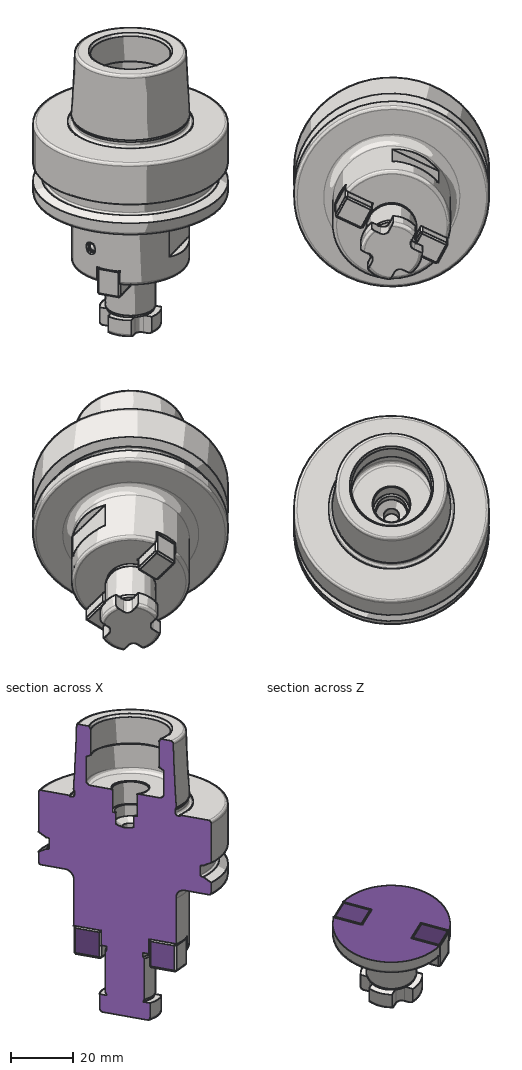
import cadquery as cq
import math

TOTAL_HEIGHT = 98.0
FLANGE_TOP = 72.9
GAUGE_LENGTH = 50.0
COLLAR_BOTTOM = FLANGE_TOP - GAUGE_LENGTH
HEAD_HEIGHT = 6.2

TAPER_BOTTOM = 75.3
TAPER_BASE_RADIUS = 19.1
TAPER_TOP_RADIUS = 18.0
TAPER_TOP_FILLET = 1.0
NECK_RADIUS = 18.7
NECK_TOP = 74.4

RELIEF_RADIUS = 20.3
RELIEF_DEPTH = 0.4
NECK_FILLET = 1.0

FLANGE_DIAMETER = 63.0
FLANGE_RADIUS = FLANGE_DIAMETER / 2
FLANGE_BOTTOM = 47.0
FLANGE_FILLET = 1.0
GROOVE_MIDDLE = 54.9
GROOVE_MOUTH = 6.8
GROOVE_INNER_WIDTH = 3.8
GROOVE_CORNER_FILLET = 0.6
GROOVE_WALL_RADIUS = 28.7
GROOVE_FLOOR_RADIUS = 27.6

COLLAR_RADIUS = 19.0
COLLAR_COVE = 2.9
COLLAR_FILLET = 1.2
FLAT_DISTANCE = 17.1
FLAT_BOTTOM = 31.1
FLAT_TOP = 41.2
FLAT_END_RISE = 0.7

BORE_RADIUS = 12.9
BORE_CHAMFER = 0.6
BORE_CHAMFER_HEIGHT = 1.0
BORE_LIP_HEIGHT = 10.0
CLAMP_RECESS_RADIUS = 14.5
CLAMP_FACE_ANGLE = 30.0
BORE_FLOOR_FILLET = 1.5
BORE_DEPTH = 20.4
THREAD_HOLE_RADIUS = 5.9
THREAD_HOLE_CHAMFER = 0.3
THREAD_HOLE_DEPTH = 7.8
DRILL_RADIUS = 5.1
DRILL_DEPTH = 3.9
DRILL_HALF_ANGLE = 59.0
COOLANT_RADIUS = 2.5
COOLANT_DEPTH = 5.9

SPIGOT_RADIUS = 8.1
UNDERCUT_RADIUS = 7.7
UNDERCUT_BOTTOM = 21.8
UNDERCUT_SLOPE = 0.6
SPIGOT_END_HEIGHT = 0.9
SPIGOT_END_STEP = 0.4
HEAD_RADIUS = 10.0
HEAD_FILLET = 1.2
LOBE_WIDTH = 8.0
LOBE_CORNER_RADIUS = 2.1

SIDE_HOLE_ANGLE = 20.0
SIDE_HOLE_HEIGHT = 34.0
SIDE_HOLE_RADIUS = 1.6
SIDE_HOLE_CHAMFER = 0.5
SIDE_HOLE_DEPTH = 1.2
DOME_BASE_RADIUS = 1.3
DOME_RISE = 0.9

KEY_WIDTH = 8.0
KEY_INNER = 8.6
KEY_OUTER = 18.5
KEY_BOTTOM = 18.2
KEY_TOP = 28.0
KEY_CHAMFER = 0.6
KEY_ANGLES = (0, 180)

CUT_MARGIN = 1.0


def revolve(outline):
    """Turn a closed (radius, z) outline about the tool axis."""
    return outline.close().revolve(360, (0, 0, 0), (0, 1, 0))


def holder_blank():
    """Turned outside of the shank, flange, collar and spigot."""
    relief_floor = FLANGE_TOP - RELIEF_DEPTH
    groove_top = GROOVE_MIDDLE + GROOVE_INNER_WIDTH / 2
    groove_bottom = GROOVE_MIDDLE - GROOVE_INNER_WIDTH / 2
    outline = (
        cq.Workplane("XZ")
        .moveTo(0, TOTAL_HEIGHT)
        .lineTo(TAPER_TOP_RADIUS - TAPER_TOP_FILLET, TOTAL_HEIGHT)
        .radiusArc((TAPER_TOP_RADIUS, TOTAL_HEIGHT - TAPER_TOP_FILLET), TAPER_TOP_FILLET)
        .lineTo(TAPER_BASE_RADIUS, TAPER_BOTTOM)
        .lineTo(NECK_RADIUS, NECK_TOP)
        .lineTo(NECK_RADIUS, relief_floor + NECK_FILLET)
        .radiusArc((NECK_RADIUS + NECK_FILLET, relief_floor), -NECK_FILLET)
        .lineTo(RELIEF_RADIUS, relief_floor)
        .lineTo(RELIEF_RADIUS, FLANGE_TOP)
        .lineTo(FLANGE_RADIUS - FLANGE_FILLET, FLANGE_TOP)
        .radiusArc((FLANGE_RADIUS, FLANGE_TOP - FLANGE_FILLET), FLANGE_FILLET)
        .lineTo(FLANGE_RADIUS, GROOVE_MIDDLE + GROOVE_MOUTH / 2)
        .lineTo(GROOVE_WALL_RADIUS, groove_top)
        .lineTo(GROOVE_FLOOR_RADIUS + GROOVE_CORNER_FILLET, groove_top)
        .radiusArc((GROOVE_FLOOR_RADIUS, groove_top - GROOVE_CORNER_FILLET), -GROOVE_CORNER_FILLET)
        .lineTo(GROOVE_FLOOR_RADIUS, groove_bottom + GROOVE_CORNER_FILLET)
        .radiusArc((GROOVE_FLOOR_RADIUS + GROOVE_CORNER_FILLET, groove_bottom), -GROOVE_CORNER_FILLET)
        .lineTo(GROOVE_WALL_RADIUS, groove_bottom)
        .lineTo(FLANGE_RADIUS, GROOVE_MIDDLE - GROOVE_MOUTH / 2)
        .lineTo(FLANGE_RADIUS, FLANGE_BOTTOM + FLANGE_FILLET)
        .radiusArc((FLANGE_RADIUS - FLANGE_FILLET, FLANGE_BOTTOM), FLANGE_FILLET)
        .lineTo(COLLAR_RADIUS + COLLAR_COVE, FLANGE_BOTTOM)
        .radiusArc((COLLAR_RADIUS, FLANGE_BOTTOM - COLLAR_COVE), -COLLAR_COVE)
        .lineTo(COLLAR_RADIUS, COLLAR_BOTTOM + COLLAR_FILLET)
        .radiusArc((COLLAR_RADIUS - COLLAR_FILLET, COLLAR_BOTTOM), COLLAR_FILLET)
        .lineTo(UNDERCUT_RADIUS, COLLAR_BOTTOM)
        .lineTo(UNDERCUT_RADIUS, UNDERCUT_BOTTOM)
        .lineTo(SPIGOT_RADIUS, UNDERCUT_BOTTOM - UNDERCUT_SLOPE)
        .lineTo(SPIGOT_RADIUS, HEAD_HEIGHT + SPIGOT_END_HEIGHT)
        .lineTo(SPIGOT_RADIUS - SPIGOT_END_STEP, HEAD_HEIGHT)
        .lineTo(0, HEAD_HEIGHT)
    )
    return revolve(outline)


def shank_bore():
    """Stepped cavity: clamping bore, threaded hole, drill point and coolant hole."""
    lip_bottom = TOTAL_HEIGHT - BORE_LIP_HEIGHT
    clamp_face_drop = (CLAMP_RECESS_RADIUS - BORE_RADIUS) * math.tan(math.radians(CLAMP_FACE_ANGLE))
    recess_top = lip_bottom - clamp_face_drop
    bore_floor = TOTAL_HEIGHT - BORE_DEPTH
    thread_floor = bore_floor - THREAD_HOLE_DEPTH
    cone_top = thread_floor - DRILL_DEPTH
    cone_height = (DRILL_RADIUS - COOLANT_RADIUS) / math.tan(math.radians(DRILL_HALF_ANGLE))
    cone_bottom = cone_top - cone_height
    outline = (
        cq.Workplane("XZ")
        .moveTo(0, TOTAL_HEIGHT)
        .lineTo(BORE_RADIUS + BORE_CHAMFER, TOTAL_HEIGHT)
        .lineTo(BORE_RADIUS, TOTAL_HEIGHT - BORE_CHAMFER_HEIGHT)
        .lineTo(BORE_RADIUS, lip_bottom)
        .lineTo(CLAMP_RECESS_RADIUS, recess_top)
        .lineTo(CLAMP_RECESS_RADIUS, bore_floor + BORE_FLOOR_FILLET)
        .radiusArc((CLAMP_RECESS_RADIUS - BORE_FLOOR_FILLET, bore_floor), BORE_FLOOR_FILLET)
        .lineTo(THREAD_HOLE_RADIUS + THREAD_HOLE_CHAMFER, bore_floor)
        .lineTo(THREAD_HOLE_RADIUS, bore_floor - THREAD_HOLE_CHAMFER)
        .lineTo(THREAD_HOLE_RADIUS, thread_floor)
        .lineTo(DRILL_RADIUS, thread_floor)
        .lineTo(DRILL_RADIUS, cone_top)
        .lineTo(COOLANT_RADIUS, cone_bottom)
        .lineTo(COOLANT_RADIUS, cone_bottom - COOLANT_DEPTH)
        .lineTo(0, cone_bottom - COOLANT_DEPTH)
    )
    return revolve(outline)


def wrench_flat(side):
    """Cutter for the flat on the +X (side=1) or -X (side=-1) face of the collar."""
    end_slope = FLAT_END_RISE / (COLLAR_RADIUS - FLAT_DISTANCE)
    reach = COLLAR_RADIUS + CUT_MARGIN
    flare = end_slope * (reach - FLAT_DISTANCE)
    return (
        cq.Workplane("XZ")
        .moveTo(side * FLAT_DISTANCE, FLAT_BOTTOM)
        .lineTo(side * reach, FLAT_BOTTOM - flare)
        .lineTo(side * reach, FLAT_TOP + flare)
        .lineTo(side * FLAT_DISTANCE, FLAT_TOP)
        .close()
        .extrude(COLLAR_RADIUS, both=True)
    )


def side_hole():
    """Cutter for the chamfered radial hole, hollowed to leave a dome at its bottom."""
    rim_radius = SIDE_HOLE_RADIUS + SIDE_HOLE_CHAMFER
    floor_distance = COLLAR_RADIUS - SIDE_HOLE_DEPTH
    dome_sphere_radius = (DOME_BASE_RADIUS**2 + DOME_RISE**2) / (2 * DOME_RISE)
    chamfer_start = COLLAR_RADIUS - SIDE_HOLE_CHAMFER
    cutter = (
        cq.Workplane("XY")
        .moveTo(0, -floor_distance - DOME_RISE)
        .radiusArc((DOME_BASE_RADIUS, -floor_distance), -dome_sphere_radius)
        .lineTo(SIDE_HOLE_RADIUS, -floor_distance)
        .lineTo(SIDE_HOLE_RADIUS, -chamfer_start)
        .lineTo(rim_radius, -COLLAR_RADIUS)
        .lineTo(rim_radius, -COLLAR_RADIUS - CUT_MARGIN)
        .lineTo(0, -COLLAR_RADIUS - CUT_MARGIN)
        .close()
        .revolve(360, (0, 0, 0), (0, 1, 0))
    )
    return cutter.rotate((0, 0, 0), (0, 0, 1), -SIDE_HOLE_ANGLE).translate((0, 0, SIDE_HOLE_HEIGHT))


def slotted_head():
    """Round head cut to a four-lobed cross with rounded inner corners."""
    disc = cq.Workplane("XY").circle(HEAD_RADIUS).extrude(HEAD_HEIGHT)
    disc = disc.faces("<Z").edges().fillet(HEAD_FILLET)
    arm_length = 2 * HEAD_RADIUS
    along_x = cq.Workplane("XY").rect(arm_length, LOBE_WIDTH).extrude(HEAD_HEIGHT)
    along_y = cq.Workplane("XY").rect(LOBE_WIDTH, arm_length).extrude(HEAD_HEIGHT)
    sharp_cross = along_x.union(along_y)
    corner_box = cq.selectors.BoxSelector(
        (-LOBE_WIDTH, -LOBE_WIDTH, 0), (LOBE_WIDTH, LOBE_WIDTH, HEAD_HEIGHT)
    )
    cross = sharp_cross.edges("|Z").edges(corner_box).fillet(LOBE_CORNER_RADIUS)
    return disc.intersect(cross)


def key_space(outer, bottom):
    """Key-wide block on the -Y side, from KEY_INNER out to `outer` and from `bottom` up to KEY_TOP."""
    return cq.Workplane("XY").box(KEY_WIDTH, outer - KEY_INNER, KEY_TOP - bottom).translate(
        (0, -(outer + KEY_INNER) / 2, (KEY_TOP + bottom) / 2)
    )


def drive_key(angle):
    """Drive key with all edges chamfered, turned about the tool axis."""
    block = key_space(KEY_OUTER, KEY_BOTTOM)
    return block.edges().chamfer(KEY_CHAMFER).rotate((0, 0, 0), (0, 0, 1), angle)


def key_slot(angle):
    """Cutter for one key's seat, open at the collar surface and at its end face."""
    seat = key_space(COLLAR_RADIUS + CUT_MARGIN, COLLAR_BOTTOM)
    return seat.rotate((0, 0, 0), (0, 0, 1), angle)


def make_holder():
    """Holder with the spigot and its slotted head in one piece."""
    body = holder_blank().union(slotted_head()).cut(shank_bore()).cut(side_hole())
    for side in (-1, 1):
        body = body.cut(wrench_flat(side))
    for angle in KEY_ANGLES:
        body = body.cut(key_slot(angle))
    return body


holder = make_holder()
drive_keys = [drive_key(angle).val() for angle in KEY_ANGLES]

result = cq.Compound.makeCompound([holder.val(), *drive_keys])